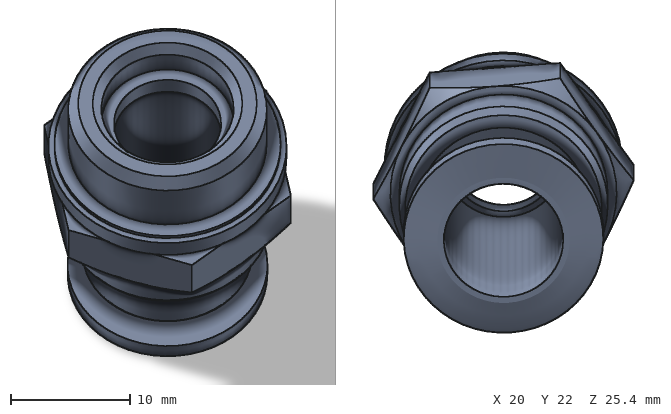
import cadquery as cq

release_cone_z = 0.5
release_rim_z = 0.65
release_top_z = 2.03
neck_flare_z = 2.3
neck_top_z = 3.35
sleeve_lip_z = 3.63
sleeve_shoulder_z = 3.89
sleeve_top_z = 8.35
collar_chamfer_z = 9.2
collar_top_z = 12.3
hex_top_z = 17.15
washer_bottom_z = 17.53
washer_top_z = 19.25
seat_top_z = 19.58
spigot_chamfer_z = 24.5
total_height = 25.4

release_d = 16.8
release_cone_d = 16.75
release_face_d = 11.1
neck_d = 10.97
neck_foot_d = 11.1
sleeve_d = 14.3
sleeve_lip_d = 13.9
sleeve_end_d = 13.6
collar_d = 17.5
collar_end_d = 16.5
hex_across_flats = 19.0
washer_d = 20.0
spigot_d = 16.65
spigot_end_d = 14.99

hex_across_corners = 21.95
hex_cone_rise = 0.9

tube_bore_d = 10.0
throat_d = 9.0
throat_length = 1.73
socket_d = 11.1
socket_mouth_d = 12.55
socket_depth = 2.9
socket_floor_z = total_height - socket_depth
throat_bottom_z = socket_floor_z - throat_length
mouth_chamfer_depth = (socket_mouth_d - socket_d) / 2


def revolve(diameter_heights):
    """Solid of revolution about Z from (diameter, height) pairs, closed along the axis."""
    outline = [(diameter / 2, z) for diameter, z in diameter_heights]
    first_z = outline[0][1]
    last_z = outline[-1][1]
    profile = cq.Workplane("XZ").polyline([(0, first_z)] + outline + [(0, last_z)]).close()
    return profile.revolve(360, (0, 0, 0), (0, 1, 0))


def make_turned_body():
    return revolve([
        (release_face_d, 0),
        (release_cone_d, release_cone_z),
        (release_d, release_rim_z),
        (release_d, release_top_z),
        (neck_foot_d, release_top_z),
        (neck_d, neck_flare_z),
        (neck_d, neck_top_z),
        (sleeve_end_d, neck_top_z),
        (sleeve_lip_d, sleeve_lip_z),
        (sleeve_lip_d, sleeve_shoulder_z),
        (sleeve_d, sleeve_shoulder_z),
        (sleeve_d, sleeve_top_z),
        (collar_end_d, sleeve_top_z),
        (collar_d, collar_chamfer_z),
        (collar_d, collar_top_z),
        (hex_across_flats, collar_top_z),
        (hex_across_flats, washer_bottom_z),
        (washer_d, washer_bottom_z),
        (washer_d, washer_top_z),
        (hex_across_flats, washer_top_z),
        (hex_across_flats, seat_top_z),
        (spigot_d, seat_top_z),
        (spigot_d, spigot_chamfer_z),
        (spigot_end_d, total_height),
    ])


def make_hexagon():
    hexagon = (
        cq.Workplane("XY", origin=(0, 0, collar_top_z))
        .polygon(6, hex_across_corners)
        .extrude(hex_top_z - collar_top_z)
        .rotate((0, 0, 0), (0, 0, 1), 90)
    )
    cone = revolve([
        (hex_across_flats, collar_top_z),
        (hex_across_corners, collar_top_z + hex_cone_rise),
        (hex_across_corners, hex_top_z),
    ])
    return hexagon.intersect(cone)


def make_bore():
    return revolve([
        (tube_bore_d, 0),
        (tube_bore_d, throat_bottom_z),
        (throat_d, throat_bottom_z),
        (throat_d, socket_floor_z),
        (socket_d, socket_floor_z),
        (socket_d, total_height - mouth_chamfer_depth),
        (socket_mouth_d, total_height),
    ])


result = make_turned_body().union(make_hexagon()).cut(make_bore())